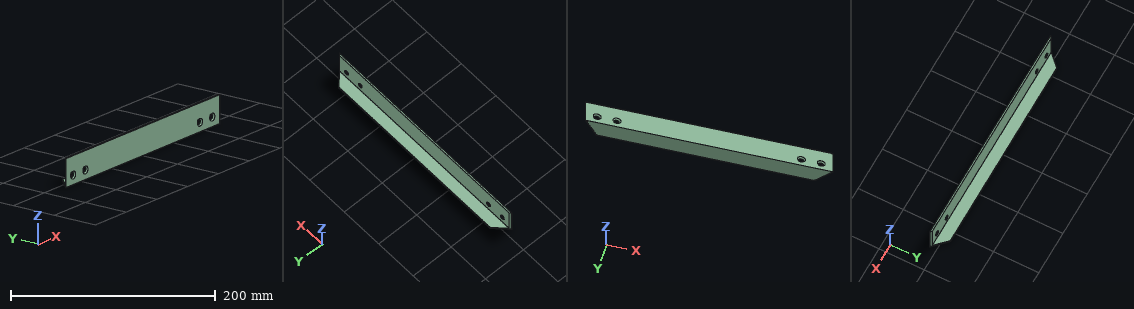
import cadquery as cq

length = 250.0
depth = 15.0
height = 30.0
thickness = 2.0

hole_diameter = 5.0
countersink_diameter = 8.0
countersink_angle = 90.0
hole_height = 10.0
hole_offsets = (93.0, 113.0)


def angle_strip():
    """L section: a tall wall at the front with a flange along its bottom."""
    section = [
        (0, 0),
        (depth, 0),
        (depth, thickness),
        (thickness, thickness),
        (thickness, height),
        (0, height),
    ]
    return cq.Workplane("YZ").polyline(section).close().extrude(length / 2, both=True)


def mitre_envelope():
    """Plan outline with both ends cut back at 45 degrees."""
    front_end = length / 2
    back_end = front_end - depth
    outline = [
        (-front_end, 0),
        (front_end, 0),
        (back_end, depth),
        (-back_end, depth),
    ]
    return cq.Workplane("XY").polyline(outline).close().extrude(height)


def drill_screw_holes(body):
    """Countersink the holes from the front face of the wall."""
    centres = [(side * offset, hole_height) for side in (-1, 1) for offset in hole_offsets]
    return (
        body.faces("<Y")
        .workplane(origin=(0, 0, 0))
        .pushPoints(centres)
        .cskHole(hole_diameter, countersink_diameter, countersink_angle, depth=thickness)
    )


result = drill_screw_holes(angle_strip().intersect(mitre_envelope()))